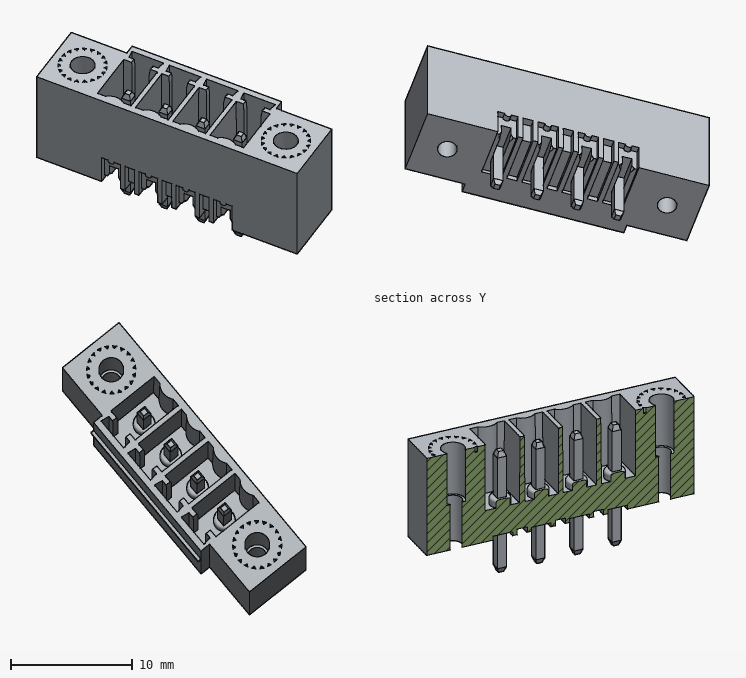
import cadquery as cq
import math


LENGTH = 24.4
HEIGHT = 9.2
FLANGE_DEPTH = 6.03
CENTRE_LENGTH = 14.0
CENTRE_DEPTH = 6.95
BACK_EDGE_CHAMFER = 0.15

RIB_HEIGHT = 0.3
RIB_TOP_Z = 6.03
RIB_TIP_Z = 5.75
RIB_ROOT_Z = 5.6

PIN_COUNT = 4
PITCH = 3.5
PIN_Y = FLANGE_DEPTH / 2
PIN_WIDTH = 0.83
PIN_TIP_WIDTH = 0.46
PIN_TIP_LENGTH = 0.5
PIN_BELOW = 3.4
PIN_RECESS = 1.17
COLLAR_DIAMETER = 1.8
COLLAR_HEIGHT = 0.73
COLLAR_FILLET = 0.25

CAVITY_FLOOR_Z = 3.0
CAVITY_HALF_WIDTH = 1.54
END_WALL_OFFSET = 1.6
WALL_DRAFT = 0.07
CAVITY_FRONT_Y = 0.63
BUMP_WIDTH = 1.7
BUMP_HEIGHT = 0.32
TAB_FRONT_Y = 5.15
TAB_BACK_Y = 5.65
CAVITY_BACK_Y = 6.4
NECK_WIDTH = 1.6
BACK_SLOT_NEAR_WIDTH = 2.73
BACK_SLOT_FAR_WIDTH = 2.95
TAB_CHAMFER = 0.07
TAB_CHAMFER_HEIGHT = 0.6

NOTCH_TOP_Z = 2.7
UNDERCUT_BACK_Y = 4.4
WIDE_NOTCH_WIDTH = 1.75
WIDE_NOTCH_DEPTH = 0.5
WIDE_UNDERCUT_Z = 0.37
NOTCH_TONGUE_RADIUS = 0.3
NARROW_NOTCH_WIDTH = 0.88
NARROW_NOTCH_DEPTH = 0.6
NARROW_UNDERCUT_Z = 0.51
PIN_SLOT_TOP_Z = 1.6
FLARE_RADIUS = 0.6
FLARE_HEIGHT = 0.35

INSERT_SPACING = 19.03
INSERT_BORE = 2.05
INSERT_BORE_DEPTH = 4.88
SCREW_HOLE = 1.6
KNURL_COUNT = 19
KNURL_OUTER_RADIUS = 2.03
KNURL_INNER_RADIUS = 1.8
KNURL_WIDTH = 0.35
KNURL_DEPTH = 0.5

PIN_XS = [(i - (PIN_COUNT - 1) / 2) * PITCH for i in range(PIN_COUNT)]
GAP_XS = [x + PITCH / 2 for x in PIN_XS[:-1]]


def block(x_centre, width, y_front, y_back, z_low, z_high):
    """Box centred on x_centre and spanning the given Y and Z ranges."""
    return (
        cq.Workplane("XY")
        .box(width, y_back - y_front, z_high - z_low, centered=(True, False, False))
        .translate((x_centre, y_front, z_low))
    )


def make_housing():
    """Flanged block whose deeper centre has a chamfered back edge and a latching rib."""
    flanges = block(0, LENGTH, 0, FLANGE_DEPTH, 0, HEIGHT)
    centre = (
        cq.Workplane("YZ")
        .polyline(
            [
                (0, 0),
                (CENTRE_DEPTH - BACK_EDGE_CHAMFER, 0),
                (CENTRE_DEPTH, BACK_EDGE_CHAMFER),
                (CENTRE_DEPTH, RIB_ROOT_Z),
                (CENTRE_DEPTH + RIB_HEIGHT, RIB_TIP_Z),
                (CENTRE_DEPTH + RIB_HEIGHT, RIB_TOP_Z),
                (CENTRE_DEPTH, RIB_TOP_Z),
                (CENTRE_DEPTH, HEIGHT),
                (0, HEIGHT),
            ]
        )
        .close()
        .extrude(CENTRE_LENGTH / 2, both=True)
    )
    return flanges.union(centre)


def make_cavity(left_wall):
    """Cutter for one plug cavity with its pin at X = 0: chamber, neck between two tabs, back slot.

    left_wall is the distance from the pin to the upright left wall; the right wall is drafted.
    """
    half = CAVITY_HALF_WIDTH
    half_bump = BUMP_WIDTH / 2
    half_neck = NECK_WIDTH / 2
    half_near = BACK_SLOT_NEAR_WIDTH / 2
    half_far = BACK_SLOT_FAR_WIDTH / 2
    depth = HEIGHT - CAVITY_FLOOR_Z

    chamber = (
        cq.Workplane("XY", origin=(0, 0, HEIGHT))
        .moveTo(-2 * half, CAVITY_FRONT_Y)
        .lineTo(-half_bump, CAVITY_FRONT_Y)
        .threePointArc((0, CAVITY_FRONT_Y + BUMP_HEIGHT), (half_bump, CAVITY_FRONT_Y))
        .lineTo(half, CAVITY_FRONT_Y)
        .lineTo(half, TAB_BACK_Y)
        .lineTo(-2 * half, TAB_BACK_Y)
        .close()
        .extrude(-depth, taper=math.degrees(math.atan(WALL_DRAFT / depth)))
        .intersect(block((half - left_wall) / 2, half + left_wall, 0, TAB_FRONT_Y, 0, HEIGHT))
    )
    neck = block(0, NECK_WIDTH, TAB_FRONT_Y, TAB_BACK_Y, CAVITY_FLOOR_Z, HEIGHT)
    back_slot = (
        cq.Workplane("XY", origin=(0, 0, CAVITY_FLOOR_Z))
        .polyline(
            [
                (-half_near, TAB_BACK_Y),
                (half_near, TAB_BACK_Y),
                (half_far, CAVITY_BACK_Y),
                (-half_far, CAVITY_BACK_Y),
            ]
        )
        .close()
        .extrude(depth)
    )

    chamfer_z = HEIGHT - TAB_CHAMFER_HEIGHT
    front_lead_in = (
        cq.Workplane("YZ")
        .polyline([(TAB_FRONT_Y, chamfer_z), (TAB_FRONT_Y + TAB_CHAMFER, HEIGHT), (TAB_FRONT_Y, HEIGHT)])
        .close()
        .extrude(left_wall + half)
        .translate((-left_wall, 0, 0))
    )
    neck_lead_in = (
        cq.Workplane("XZ", origin=(0, TAB_BACK_Y, 0))
        .polyline(
            [
                (-half_neck, chamfer_z),
                (half_neck, chamfer_z),
                (half_neck + TAB_CHAMFER, HEIGHT),
                (-half_neck - TAB_CHAMFER, HEIGHT),
            ]
        )
        .close()
        .extrude(TAB_BACK_Y - TAB_FRONT_Y)
    )
    return chamber.union(neck).union(back_slot).union(front_lead_in).union(neck_lead_in)


def make_wide_notch():
    """Cutter at one pin, centred on X = 0: shallow notch, pin slot with flared mouth, undercut."""
    tongue = (
        cq.Workplane("XZ", origin=(0, WIDE_NOTCH_DEPTH, NOTCH_TOP_Z))
        .circle(NOTCH_TONGUE_RADIUS)
        .extrude(WIDE_NOTCH_DEPTH)
    )
    notch = block(0, WIDE_NOTCH_WIDTH, 0, WIDE_NOTCH_DEPTH, 0, NOTCH_TOP_Z).cut(tongue)
    undercut = block(0, WIDE_NOTCH_WIDTH, 0, UNDERCUT_BACK_Y, 0, WIDE_UNDERCUT_Z)
    pin_slot = block(0, PIN_WIDTH, 0, PIN_Y, 0, PIN_SLOT_TOP_Z)
    flare_base = cq.Vector(0, WIDE_NOTCH_DEPTH, WIDE_UNDERCUT_Z)
    flare = cq.Solid.makeCone(FLARE_RADIUS, PIN_WIDTH / 2, FLARE_HEIGHT, pnt=flare_base)
    return notch.union(undercut).union(pin_slot).union(cq.Workplane(flare))


def make_narrow_notch():
    """Cutter between two pins, centred on X = 0: notch with an undercut."""
    notch = block(0, NARROW_NOTCH_WIDTH, 0, NARROW_NOTCH_DEPTH, 0, NOTCH_TOP_Z)
    return notch.union(block(0, NARROW_NOTCH_WIDTH, 0, UNDERCUT_BACK_Y, 0, NARROW_UNDERCUT_Z))


def pin_tip(z_base, z_end):
    """Square tip tapering from the full pin section at z_base to the small end at z_end."""
    return (
        cq.Workplane("XY", origin=(0, PIN_Y, z_base))
        .rect(PIN_WIDTH, PIN_WIDTH)
        .workplane(offset=z_end - z_base)
        .rect(PIN_TIP_WIDTH, PIN_TIP_WIDTH)
        .loft(combine=True)
    )


def make_pin():
    """Square pin at X = 0 with both tips tapered and a round collar on the cavity floor."""
    top_end = HEIGHT - PIN_RECESS
    shank_low = PIN_TIP_LENGTH - PIN_BELOW
    shank_high = top_end - PIN_TIP_LENGTH
    half = PIN_WIDTH / 2
    shank = block(0, PIN_WIDTH, PIN_Y - half, PIN_Y + half, shank_low, shank_high)
    collar = (
        cq.Workplane("XY", origin=(0, PIN_Y, CAVITY_FLOOR_Z))
        .circle(COLLAR_DIAMETER / 2)
        .extrude(COLLAR_HEIGHT)
        .faces(">Z")
        .edges()
        .fillet(COLLAR_FILLET)
    )
    return shank.union(pin_tip(shank_low, -PIN_BELOW)).union(pin_tip(shank_high, top_end)).union(collar)


def make_insert_cuts():
    """Cutter for one insert, centred on the Z axis: screw hole, wider bore and knurl grooves."""
    hole = cq.Workplane("XY").circle(SCREW_HOLE / 2).extrude(HEIGHT)
    bore = cq.Workplane("XY", origin=(0, 0, HEIGHT)).circle(INSERT_BORE / 2).extrude(-INSERT_BORE_DEPTH)
    cuts = hole.union(bore)
    groove = (
        cq.Workplane("XY", origin=(0, 0, HEIGHT))
        .polyline(
            [
                (KNURL_INNER_RADIUS, 0),
                (KNURL_OUTER_RADIUS, KNURL_WIDTH / 2),
                (KNURL_OUTER_RADIUS, -KNURL_WIDTH / 2),
            ]
        )
        .close()
        .extrude(-KNURL_DEPTH)
    )
    for i in range(KNURL_COUNT):
        cuts = cuts.union(groove.rotate((0, 0, 0), (0, 0, 1), i * 360 / KNURL_COUNT))
    return cuts


result = make_housing()

end_cavity = make_cavity(END_WALL_OFFSET).translate((PIN_XS[0], 0, 0))
result = result.cut(end_cavity).cut(end_cavity.mirror("YZ"))

inner_cavity = make_cavity(CAVITY_HALF_WIDTH)
for x in PIN_XS[1:-1]:
    result = result.cut(inner_cavity.translate((x, 0, 0)))

wide_notch = make_wide_notch()
for x in PIN_XS:
    result = result.cut(wide_notch.translate((x, 0, 0)))

narrow_notch = make_narrow_notch()
for x in GAP_XS:
    result = result.cut(narrow_notch.translate((x, 0, 0)))

insert_cuts = make_insert_cuts()
left_insert_cuts = insert_cuts.translate((-INSERT_SPACING / 2, PIN_Y, 0))
result = result.cut(left_insert_cuts).cut(left_insert_cuts.mirror("YZ"))

pin = make_pin()
for x in PIN_XS:
    result = result.union(pin.translate((x, 0, 0)))